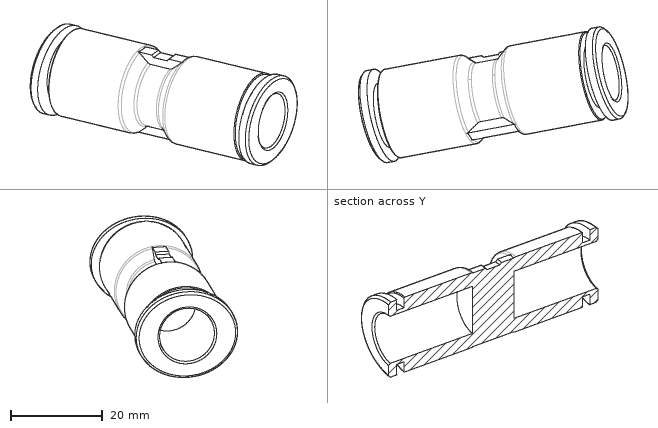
import cadquery as cq

length = 54.8
body_diameter = 19.7
body_radius = body_diameter / 2

flange_width = 22.5
flange_height = body_diameter
flange_thickness = 2.2
flange_chamfer = 0.55
collar_neck_radius = 7.1
collar_gap = 1.8

body_half_length = length / 2 - flange_thickness - collar_gap
body_end_chamfer = 0.2
waist_radius = 7.5
waist_half_length = 2.8
shoulder_half_length = 5.5
waist_fillet = 1.0
groove_clearance = 0.55

web_thickness = 3.0
web_inset = 0.15
web_height = body_radius - web_inset
web_overlap = 0.55
notch_depth = 0.5
notch_floor_half_length = 1.65

socket_radius = 6.1
socket_depth = 21.9
socket_chamfer = 0.45


def make_body():
    """Turned body: two cylinders joined by a coned waist with rounded corners."""
    cylinder = (
        cq.Workplane("YZ", origin=(-body_half_length, 0, 0))
        .circle(body_radius)
        .extrude(2 * body_half_length)
        .edges()
        .chamfer(body_end_chamfer)
    )
    cutter_radius = body_radius + groove_clearance
    groove = (
        cq.Workplane("XY")
        .moveTo(-shoulder_half_length, cutter_radius)
        .lineTo(-shoulder_half_length, body_radius)
        .lineTo(-waist_half_length, waist_radius)
        .lineTo(waist_half_length, waist_radius)
        .lineTo(shoulder_half_length, body_radius)
        .lineTo(shoulder_half_length, cutter_radius)
        .close()
        .revolve(360, (0, 0, 0), (1, 0, 0))
    )
    zone_half_length = shoulder_half_length + groove_clearance
    waist_zone = cq.selectors.BoxSelector(
        (-zone_half_length, -cutter_radius, -cutter_radius),
        (zone_half_length, cutter_radius, cutter_radius),
        boundingbox=True,
    )
    return cylinder.cut(groove).edges("%CIRCLE").edges(waist_zone).fillet(waist_fillet)


def make_webs():
    """Flat web through the axis, with a sloped-sided notch in its top edge."""
    half_length = shoulder_half_length + web_overlap
    notch_half_length = notch_floor_half_length + notch_depth
    notch_floor = web_height - notch_depth
    return (
        cq.Workplane("XZ")
        .moveTo(-half_length, -web_height)
        .lineTo(half_length, -web_height)
        .lineTo(half_length, web_height)
        .lineTo(notch_half_length, web_height)
        .lineTo(notch_floor_half_length, notch_floor)
        .lineTo(-notch_floor_half_length, notch_floor)
        .lineTo(-notch_half_length, web_height)
        .lineTo(-half_length, web_height)
        .close()
        .extrude(web_thickness / 2, both=True)
    )


def make_collar():
    """Collar at the -X end, reaching inward to the end face of the body."""
    flange = (
        cq.Workplane("YZ", origin=(-length / 2, 0, 0))
        .ellipse(flange_width / 2, flange_height / 2)
        .extrude(flange_thickness)
        .edges("<X")
        .chamfer(flange_chamfer)
    )
    neck = (
        cq.Workplane("YZ", origin=(-length / 2 + flange_thickness, 0, 0))
        .circle(collar_neck_radius)
        .extrude(collar_gap)
    )
    return flange.union(neck)


def make_socket():
    """Cutter for the blind socket at the -X end, widened at the mouth."""
    bore = (
        cq.Workplane("YZ", origin=(-length / 2, 0, 0))
        .circle(socket_radius)
        .extrude(socket_depth)
    )
    mouth = (
        cq.Workplane("YZ", origin=(-length / 2, 0, 0))
        .circle(socket_radius + socket_chamfer)
        .workplane(offset=socket_chamfer)
        .circle(socket_radius)
        .loft()
    )
    return bore.union(mouth)


result = make_body().union(make_webs())

collar = make_collar()
for end_collar in (collar, collar.mirror("YZ")):
    result = result.union(end_collar)

socket = make_socket()
for end_socket in (socket, socket.mirror("YZ")):
    result = result.cut(end_socket)